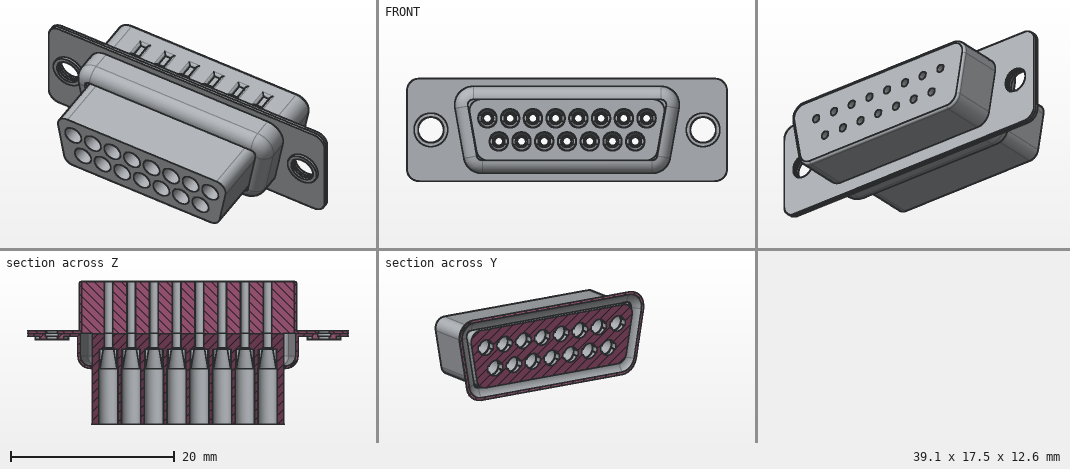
import cadquery as cq
import math


SHEET = 0.35
PLATE_LENGTH = 39.15
PLATE_HEIGHT = 12.55
PLATE_CORNER_RADIUS = 1.5

MOUNT_SPACING = 33.25
PLATE_HOLE_DIAMETER = 3.2
COLLAR_BORE_DIAMETER = 3.1
COLLAR_DIAMETER = 4.1
COLLAR_HEIGHT = 0.4

SIDE_SLANT = math.radians(10.0)
SHROUD_OUTLINE = (13.23, 5.32, 2.27)
CABLE_BLOCK_OUTLINE = (11.5, 3.7, 1.35)
MATING_OUTLINE = (13.07, 4.55, 1.85)

TOTAL_DEPTH = 17.5
CABLE_BLOCK_REACH = 11.1
MATING_REACH = TOTAL_DEPTH - CABLE_BLOCK_REACH
SHROUD_REACH = 4.3

SHROUD_BEND_RADIUS = 1.55
SHROUD_OPENING_INSET = SHROUD_OUTLINE[1] - CABLE_BLOCK_OUTLINE[1]

MATING_EDGE_RADIUS = 0.3

CONTACT_PITCH = 2.78
ROW_SPACING = 2.8
UPPER_ROW_COUNT = 8
LOWER_ROW_COUNT = 7
BORE_DIAMETER = 2.3
LANCE_BORE_DIAMETER = 2.2
LANCE_TIP_DIAMETER = 1.5
LANCE_LENGTH = 2.35
LANCE_GAP = 0.75
PIN_HOLE_DIAMETER = 1.0
BORE_END = -SHROUD_REACH
LANCE_END = BORE_END + LANCE_LENGTH

WINDOW_COUNT = 6
WINDOW_PITCH = 3.5
WINDOW_WIDTH = 0.8
WINDOW_LENGTH = 1.8
WINDOW_CENTER_Y = 3.2
WINDOW_RIM_RADIUS = 0.4


def centered_row(count, pitch):
    """Evenly spaced positions centred on zero."""
    return [(index - (count - 1) / 2) * pitch for index in range(count)]


def section_plane(y):
    """Workplane across the connector at the given Y; extrusions go towards -Y."""
    return cq.Workplane("XZ", origin=(0, y, 0))


def d_prism(outline, y_low, y_high, inset=0.0):
    """Prism along Y with a D section, its outline moved inwards by `inset`."""
    half_width, half_height, corner_radius = outline
    middle = half_width - inset / math.cos(SIDE_SLANT)
    height = half_height - inset
    side_shift = height * math.tan(SIDE_SLANT)
    top = middle + side_shift
    bottom = middle - side_shift
    corners = [(-top, height), (top, height), (bottom, -height), (-bottom, -height)]
    prism = section_plane(y_high).polyline(corners).close().extrude(y_high - y_low)
    return prism.edges("|Y").fillet(corner_radius - inset)


def cylinders(points, diameter, y_low, y_high):
    """Cylinders along Y at the given (x, z) points."""
    return section_plane(y_high).pushPoints(points).circle(diameter / 2).extrude(y_high - y_low)


def flange_plate(y_low, y_high):
    plate = section_plane(y_high).rect(PLATE_LENGTH, PLATE_HEIGHT).extrude(y_high - y_low)
    return plate.edges("|Y").fillet(PLATE_CORNER_RADIUS)


def mount_points():
    return [(x, 0) for x in centered_row(2, MOUNT_SPACING)]


def contact_points():
    upper = [(x, ROW_SPACING / 2) for x in centered_row(UPPER_ROW_COUNT, CONTACT_PITCH)]
    lower = [(x, -ROW_SPACING / 2) for x in centered_row(LOWER_ROW_COUNT, CONTACT_PITCH)]
    return upper + lower


def shroud_form(inset):
    """Solid shroud shape with a rounded front edge, moved inwards by `inset`."""
    form = d_prism(SHROUD_OUTLINE, inset - SHROUD_REACH, 0, inset)
    return form.faces("<Y").edges().fillet(SHROUD_BEND_RADIUS - inset)


def make_cable_shell():
    collar_end = -SHEET - COLLAR_HEIGHT
    shell = flange_plate(-SHEET, 0).union(shroud_form(0)).cut(shroud_form(SHEET))
    shell = shell.cut(d_prism(SHROUD_OUTLINE, -SHROUD_REACH, 0, SHROUD_OPENING_INSET))
    shell = shell.union(cylinders(mount_points(), COLLAR_DIAMETER, collar_end, -SHEET))
    shell = shell.cut(cylinders(mount_points(), COLLAR_BORE_DIAMETER, collar_end, -SHEET))
    return shell.cut(cylinders(mount_points(), PLATE_HOLE_DIAMETER, -SHEET, 0))


def cut_windows(skirt):
    """Cut the windows into the solid skirt shape and round their rims."""
    half_height = MATING_OUTLINE[1]
    centers = [(x, WINDOW_CENTER_Y) for x in centered_row(WINDOW_COUNT, WINDOW_PITCH)]
    openings = (
        cq.Workplane("XY", origin=(0, 0, half_height))
        .pushPoints(centers)
        .rect(WINDOW_WIDTH, WINDOW_LENGTH)
        .extrude(-2 * SHEET)
    )
    row_half_width = WINDOW_COUNT * WINDOW_PITCH / 2
    rim_band = cq.selectors.BoxSelector(
        (-row_half_width, WINDOW_CENTER_Y - WINDOW_LENGTH, half_height - SHEET / 2),
        (row_half_width, WINDOW_CENTER_Y + WINDOW_LENGTH, half_height + SHEET / 2),
    )
    return skirt.cut(openings).edges(rim_band).fillet(WINDOW_RIM_RADIUS)


def make_mating_shell():
    skirt = d_prism(MATING_OUTLINE, 0, MATING_REACH)
    skirt = skirt.faces(">Y").edges().fillet(MATING_EDGE_RADIUS)
    shell = cut_windows(skirt).union(flange_plate(0, SHEET))
    shell = shell.cut(d_prism(MATING_OUTLINE, 0, MATING_REACH, SHEET))
    return shell.cut(cylinders(mount_points(), COLLAR_BORE_DIAMETER, 0, SHEET))


def contact_cavity():
    """Cavity on the Y axis, from the cable end to the plane between the plates."""
    bore_radius = BORE_DIAMETER / 2
    lance_radius = LANCE_BORE_DIAMETER / 2
    tip_radius = LANCE_TIP_DIAMETER / 2
    pin_radius = PIN_HOLE_DIAMETER / 2
    funnel_end = LANCE_END + tip_radius - pin_radius
    profile = [
        (0, -CABLE_BLOCK_REACH),
        (bore_radius, -CABLE_BLOCK_REACH),
        (bore_radius, BORE_END),
        (lance_radius, BORE_END),
        (tip_radius, LANCE_END),
        (pin_radius, funnel_end),
        (pin_radius, 0),
        (0, 0),
    ]
    cavity = cq.Workplane("XY").polyline(profile).close().revolve(360, (0, 0, 0), (0, 1, 0))
    gap_limit = cylinders([(0, 0)], LANCE_BORE_DIAMETER, BORE_END, LANCE_END)
    gap = section_plane(LANCE_END).rect(LANCE_BORE_DIAMETER, LANCE_GAP).extrude(LANCE_LENGTH)
    return cavity.union(gap.intersect(gap_limit))


def make_cable_insulator():
    block = d_prism(CABLE_BLOCK_OUTLINE, -CABLE_BLOCK_REACH, 0)
    cavity = contact_cavity()
    for x, z in contact_points():
        block = block.cut(cavity.translate((x, 0, z)))
    return block


def make_mating_insulator():
    block = d_prism(MATING_OUTLINE, 0, MATING_REACH, SHEET)
    return block.cut(cylinders(contact_points(), PIN_HOLE_DIAMETER, 0, MATING_REACH))


cable_shell = make_cable_shell()
mating_shell = make_mating_shell()
cable_insulator = make_cable_insulator()
mating_insulator = make_mating_insulator()

bodies = [cable_shell, mating_shell, cable_insulator, mating_insulator]
result = cq.Compound.makeCompound([body.solids().val() for body in bodies])